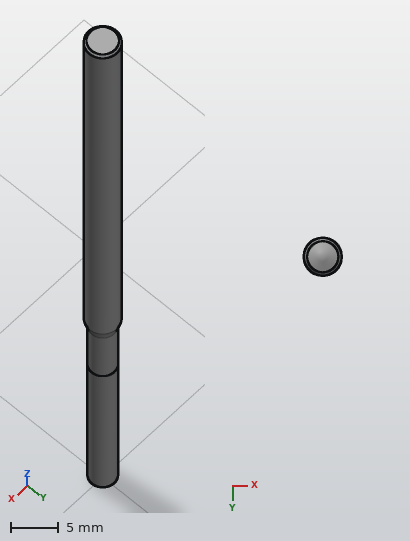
import cadquery as cq
import math

overall_length = 86.0
shank_diameter = 4.0
drill_diameter = 3.26
point_angle = 140.0
cutting_length = 22.5
neck_top = 30.0
taper_half_angle = 15.0
shank_chamfer = 0.3

shank_radius = shank_diameter / 2
drill_radius = drill_diameter / 2
point_height = drill_radius / math.tan(math.radians(point_angle / 2))
taper_height = (shank_radius - drill_radius) / math.tan(math.radians(taper_half_angle))
taper_top = neck_top + taper_height


def revolve_about_z(profile):
    """Turn a closed (radius, height) profile a full circle about the Z axis."""
    return cq.Workplane("XZ").polyline(profile).close().revolve(360, (0, 0), (0, 1))


def make_cutting_head():
    """Cylindrical cutting portion with a conical point."""
    return revolve_about_z([
        (0, 0),
        (drill_radius, point_height),
        (drill_radius, cutting_length),
        (0, cutting_length),
    ])


def make_shank():
    """Neck, taper and clamping shank with a chamfered rear end."""
    return revolve_about_z([
        (0, cutting_length),
        (drill_radius, cutting_length),
        (drill_radius, neck_top),
        (shank_radius, taper_top),
        (shank_radius, overall_length - shank_chamfer),
        (shank_radius - shank_chamfer, overall_length),
        (0, overall_length),
    ])


cutting_head = make_cutting_head()
shank = make_shank()

result = cq.Compound.makeCompound([cutting_head.val(), shank.val()])